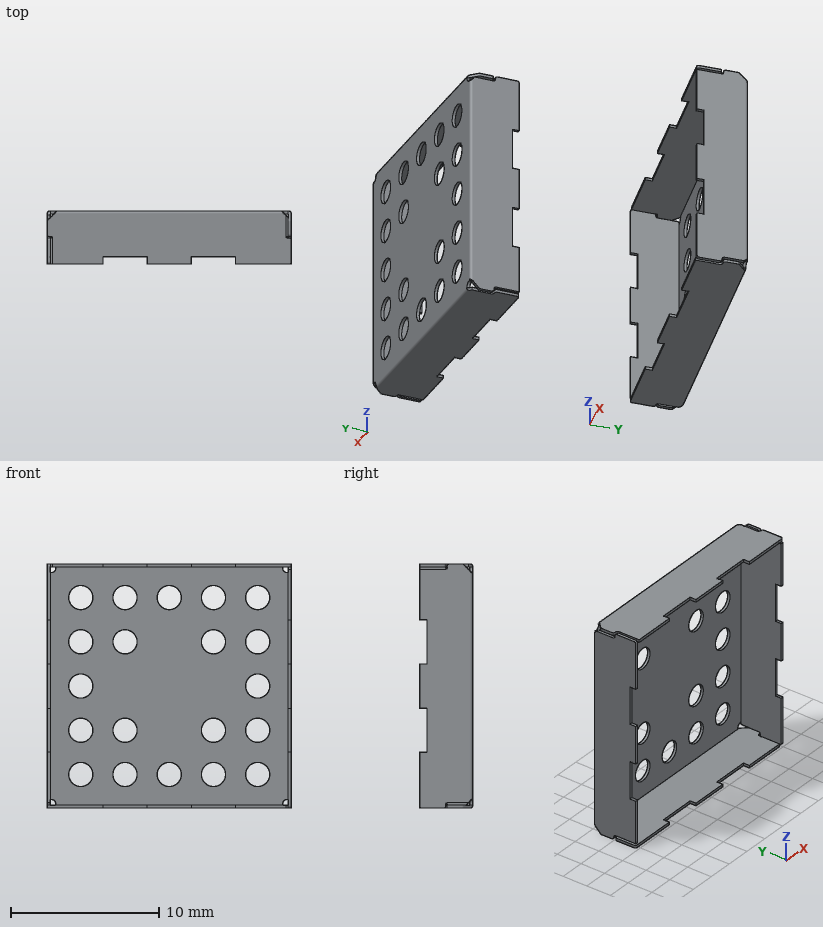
import cadquery as cq


side = 16.5
depth = 3.6
thickness = 0.21
bend_radius = 0.2
half_side = side / 2
inner_half = half_side - thickness
back = depth / 2
mouth = -back

hole_diameter = 1.62
hole_pitch = 2.99
grid_reach = 2
blank_reach = 1

relief_radius = 0.26
relief_inset = 0.31
corner_cut = 0.66

end_gap = 0.16
tab_depth = 1.73
tab_gap = 0.1
end_corner_radius = 0.16

notch_width = 2.97
notch_depth = 0.5
notch_offset = 2.99


def perforated_plate():
    """Flat plate between the walls, with its holes and corner reliefs."""
    grid = range(-grid_reach, grid_reach + 1)
    hole_centers = [
        (column * hole_pitch, row * hole_pitch)
        for column in grid
        for row in grid
        if abs(column) + abs(row) > blank_reach
    ]
    relief_place = half_side - relief_inset
    relief_spacing = 2 * relief_place

    sheet = cq.Workplane("XZ", origin=(0, back, 0))
    plate = sheet.rect(2 * inner_half, 2 * inner_half).extrude(thickness)
    holes = sheet.pushPoints(hole_centers).circle(hole_diameter / 2).extrude(thickness)
    reliefs = (
        sheet.rect(relief_spacing, relief_spacing, forConstruction=True)
        .vertices()
        .circle(relief_radius)
        .extrude(thickness)
    )
    return plate.cut(holes).cut(reliefs)


def round_corners(blank, corners):
    """Round the edges of the +Z wall that run through its thickness at the given X, Y corners."""
    for x, y in corners:
        corner_edge = cq.selectors.NearestToPointSelector((x, y, half_side - thickness / 2))
        blank = blank.edges("|Z").edges(corner_edge).fillet(end_corner_radius)
    return blank


def wall():
    """Wall on the +Z side: full width near the plate at -X and near the mouth at +X."""
    narrow = inner_half - end_gap
    tab_end = back - tab_depth
    lug_start = tab_end - tab_gap
    narrow_cut_end = back - corner_cut + half_side - narrow
    outline = [
        (corner_cut - half_side, back),
        (-half_side, back - corner_cut),
        (-half_side, tab_end),
        (-narrow, tab_end),
        (-narrow, mouth),
        (half_side, mouth),
        (half_side, lug_start),
        (narrow, lug_start),
        (narrow, narrow_cut_end),
        (half_side - corner_cut, back),
    ]
    rounded = [
        (-half_side, back - corner_cut),
        (-half_side, tab_end),
        (-narrow, tab_end),
        (half_side, mouth),
        (half_side, lug_start),
        (narrow, lug_start),
    ]
    sheet = cq.Workplane("XY", origin=(0, 0, inner_half))
    blank = round_corners(sheet.polyline(outline).close().extrude(thickness), rounded)

    notches = (
        sheet.pushPoints([(-notch_offset, mouth), (notch_offset, mouth)])
        .rect(notch_width, 2 * notch_depth)
        .extrude(thickness)
    )
    bend_envelope = (
        cq.Workplane("XY").box(side, depth, side).edges("|X and >Y and >Z").fillet(bend_radius)
    )
    return blank.cut(notches).intersect(bend_envelope)


result = perforated_plate()
single_wall = wall()
for quarter_turn in range(4):
    result = result.union(single_wall.rotate((0, 0, 0), (0, 1, 0), 90 * quarter_turn))